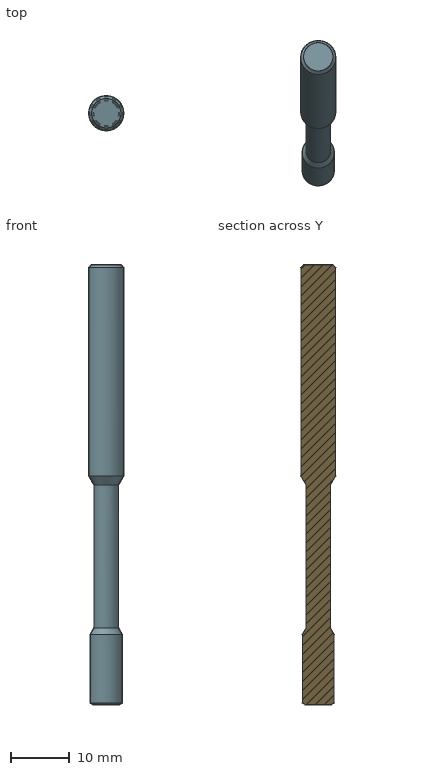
import cadquery as cq
import math

total_length = 75.0
shank_diameter = 6.0
shank_length = 36.0
neck_diameter = 4.2
head_diameter = 5.5
head_length = 12.0
taper_half_angle = 30.0
shank_chamfer = 0.5
head_chamfer_width = 0.5
head_chamfer_height = 0.3

shank_radius = shank_diameter / 2
neck_radius = neck_diameter / 2
head_radius = head_diameter / 2
shank_bottom = total_length - shank_length


def taper_length(large_radius):
    """Axial length of the cone between the neck and a thicker section."""
    return (large_radius - neck_radius) / math.tan(math.radians(taper_half_angle))


def half_profile():
    """Closed outline from the axis outwards, in radius and height."""
    neck_bottom = head_length + taper_length(head_radius)
    neck_top = shank_bottom - taper_length(shank_radius)
    return (
        cq.Workplane("XZ")
        .moveTo(0, 0)
        .lineTo(head_radius - head_chamfer_width, 0)
        .lineTo(head_radius, head_chamfer_height)
        .lineTo(head_radius, head_length)
        .lineTo(neck_radius, neck_bottom)
        .lineTo(neck_radius, neck_top)
        .lineTo(shank_radius, shank_bottom)
        .lineTo(shank_radius, total_length - shank_chamfer)
        .lineTo(shank_radius - shank_chamfer, total_length)
        .lineTo(0, total_length)
        .close()
    )


result = half_profile().revolve(360, (0, 0, 0), (0, 1, 0))